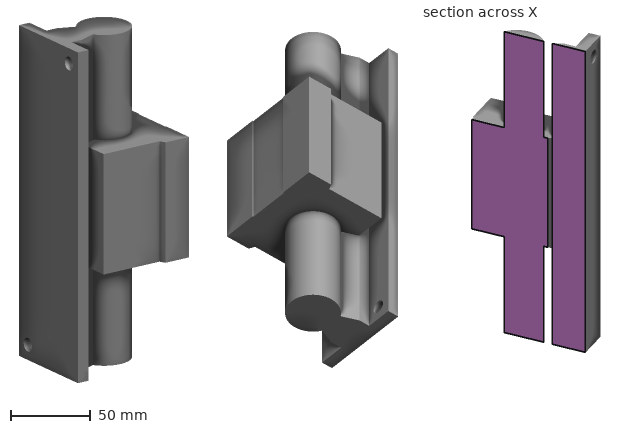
import cadquery as cq
import math

rail_length = 220
overall_depth = 80.0
axis_height = 43.0

rod_radius = 17.5
base_width = 64.5
base_thickness = 8.1
neck_width = 27.3
neck_top_width = 18.0
neck_straight_top = 16.0

hole_diameter = 9.0
hole_offset_x = 22.5
hole_end_distance = 10.1

block_length = 80.0
block_width = 80.0
block_lower_width = 72.2
block_bottom = 17.2
flange_thickness = 18.0
shoulder_drop = 2.0
relief_width = 29.7
relief_depth = 0.7

sleeve_radius = 22.5
slot_clearance = 1.0

mount_y = -axis_height
base_top_y = mount_y + base_thickness
taper_y = mount_y + neck_straight_top
block_bottom_y = mount_y + block_bottom
block_top_y = mount_y + overall_depth
neck_top_y = -math.sqrt(rod_radius**2 - (neck_top_width / 2) ** 2)


def centred_prism(half_outline, length):
    """Mirror the +X half outline about X = 0 and extrude it about Z = 0."""
    return (
        cq.Workplane("XY")
        .workplane(offset=-length / 2)
        .polyline(half_outline)
        .mirrorY()
        .extrude(length)
    )


def make_rail():
    base_and_neck = centred_prism(
        [
            (0, mount_y),
            (base_width / 2, mount_y),
            (base_width / 2, base_top_y),
            (neck_width / 2, base_top_y),
            (neck_width / 2, taper_y),
            (neck_top_width / 2, neck_top_y),
            (0, neck_top_y),
        ],
        rail_length,
    )
    rod = cq.Workplane("XY").circle(rod_radius).extrude(rail_length / 2, both=True)
    return base_and_neck.union(rod)


def make_holes():
    hole_z = rail_length / 2 - hole_end_distance
    return (
        cq.Workplane("XZ", origin=(0, base_top_y, 0))
        .pushPoints([(hole_offset_x, hole_z), (-hole_offset_x, -hole_z)])
        .circle(hole_diameter / 2)
        .extrude(base_thickness)
    )


def make_block():
    flange_bottom_y = block_top_y - flange_thickness
    block = centred_prism(
        [
            (0, block_bottom_y),
            (block_lower_width / 2, block_bottom_y),
            (block_lower_width / 2, flange_bottom_y - shoulder_drop),
            (block_width / 2, flange_bottom_y),
            (block_width / 2, block_top_y),
            (relief_width / 2, block_top_y),
            (relief_width / 2, block_top_y - relief_depth),
            (0, block_top_y - relief_depth),
        ],
        block_length,
    )
    sleeve = cq.Workplane("XY").circle(sleeve_radius).extrude(block_length / 2, both=True)
    slot = make_slot()
    return block.cut(sleeve).cut(slot).union(sleeve.cut(slot), clean=False)


def make_slot():
    """Wedge parallel to the neck taper; its tip lies inside the rod, which fills it again."""
    slot_half_width = neck_width / 2 + slot_clearance
    taper_slope = (neck_top_y - taper_y) / ((neck_width - neck_top_width) / 2)
    slot_tip_y = taper_y + slot_half_width * taper_slope
    return centred_prism(
        [
            (0, taper_y),
            (slot_half_width, taper_y),
            (0, slot_tip_y),
        ],
        block_length,
    )


result = make_rail().cut(make_holes()).union(make_block(), clean=False)